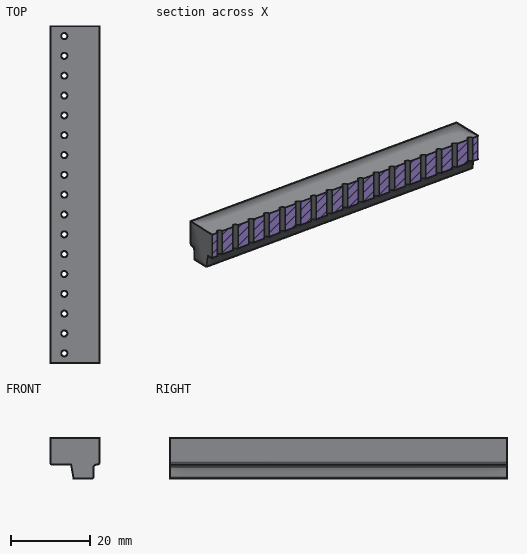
import cadquery as cq
import math

length = 85.0
width = 12.4
body_height = 6.8

foot_depth = 3.5
foot_left = 5.2
foot_right_setback = 1.5
foot_taper = 10.0

edge_radius = 0.5
right_edge_radius = 0.7
foot_root_radius = 0.7

hole_count = 17
hole_pitch = 5.0
hole_diameter = 1.5
hole_from_left = 3.5

left = -width / 2
right = width / 2
top = foot_depth + body_height
foot_root_left = left + foot_left
foot_tip_left = foot_root_left + foot_depth * math.tan(math.radians(foot_taper))
foot_right = right - foot_right_setback


def fillet_edge_at(solid, x, z, radius):
    """Round the lengthwise edge that runs through the section point (x, z)."""
    edge = solid.edges(cq.selectors.NearestToPointSelector((x, 0, z)))
    return edge.fillet(radius)


def make_bar():
    """Extrude the stepped section along Y and round its lengthwise edges."""
    section = [
        (left, top),
        (right, top),
        (right, foot_depth),
        (foot_right, foot_depth),
        (foot_right, 0),
        (foot_tip_left, 0),
        (foot_root_left, foot_depth),
        (left, foot_depth),
    ]
    bar = cq.Workplane("XZ").polyline(section).close().extrude(length / 2, both=True)
    bar = fillet_edge_at(bar, left, foot_depth, edge_radius)
    bar = fillet_edge_at(bar, foot_right, 0, edge_radius)
    bar = fillet_edge_at(bar, foot_right, foot_depth, foot_root_radius)
    return fillet_edge_at(bar, right, foot_depth, right_edge_radius)


def drill_hole_row(bar):
    """Drill the evenly spaced vertical through holes along the bar."""
    holes = (
        cq.Workplane("XY")
        .center(left + hole_from_left, 0)
        .rarray(1, hole_pitch, 1, hole_count)
        .circle(hole_diameter / 2)
        .extrude(top)
    )
    return bar.cut(holes)


result = drill_hole_row(make_bar())